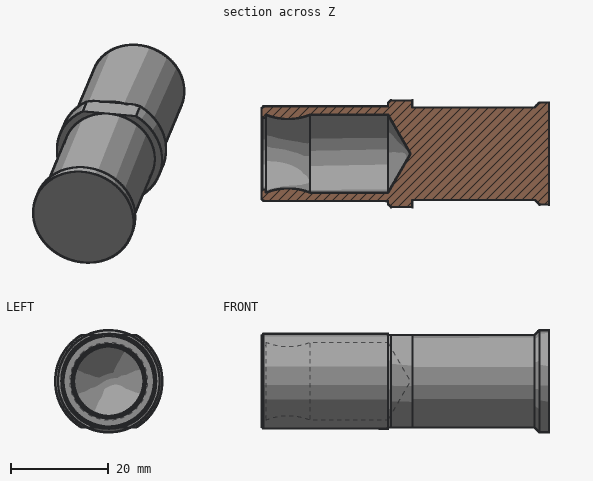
import cadquery as cq
import math

length = 59.0
spigot_radius = 9.75
spigot_chamfer = 0.5
collar_start = 25.95
collar_end = 31.0
collar_diameter = 22.0
collar_radius = collar_diameter / 2
collar_chamfer = 0.6
flat_spacing = 19.0
sleeve_radius = 9.5
flange_radius = 10.5
flange_thickness = 2.0

mouth_radius = 7.6
mouth_depth = 0.3
lip_radius = 7.3
lip_depth = 0.95
throat_radius = 7.1
throat_end = 10.05
bore_radius = 7.95
bore_depth = 25.95
drill_point_angle = 120.0


def cylinder(start, end, radius):
    return cq.Workplane("YZ", origin=(start, 0, 0)).circle(radius).extrude(end - start)


def make_collar():
    """Round collar with a chamfered front edge and two flats facing up and down."""
    collar = cylinder(collar_start, collar_end, collar_radius)
    collar = collar.faces("<X").chamfer(collar_chamfer)
    flats = cq.Workplane("XY").box(2 * length, 2 * collar_radius, flat_spacing)
    return collar.intersect(flats)


def make_flange():
    """End flange with a 45 degree shoulder rising from the sleeve."""
    shoulder = flange_radius - sleeve_radius
    flange = cylinder(length - flange_thickness - shoulder, length, flange_radius)
    return flange.faces("<X").chamfer(shoulder)


def make_bore():
    """Blind bore as one revolved cutter, narrowed by a symmetric rounded throat."""
    throat_middle = (lip_depth + throat_end) / 2
    point_depth = bore_radius / math.tan(math.radians(drill_point_angle / 2))
    return (
        cq.Workplane("XY")
        .lineTo(0, mouth_radius)
        .lineTo(mouth_depth, lip_radius)
        .lineTo(lip_depth, lip_radius)
        .lineTo(lip_depth, bore_radius)
        .threePointArc((throat_middle, throat_radius), (throat_end, bore_radius))
        .lineTo(bore_depth, bore_radius)
        .lineTo(bore_depth + point_depth, 0)
        .close()
        .revolve(360, (0, 0, 0), (1, 0, 0))
    )


spigot = cylinder(0, collar_start, spigot_radius).faces("<X").chamfer(spigot_chamfer)
sleeve = cylinder(collar_start, length, sleeve_radius)
body = spigot.union(sleeve).union(make_collar()).union(make_flange())
result = body.cut(make_bore())